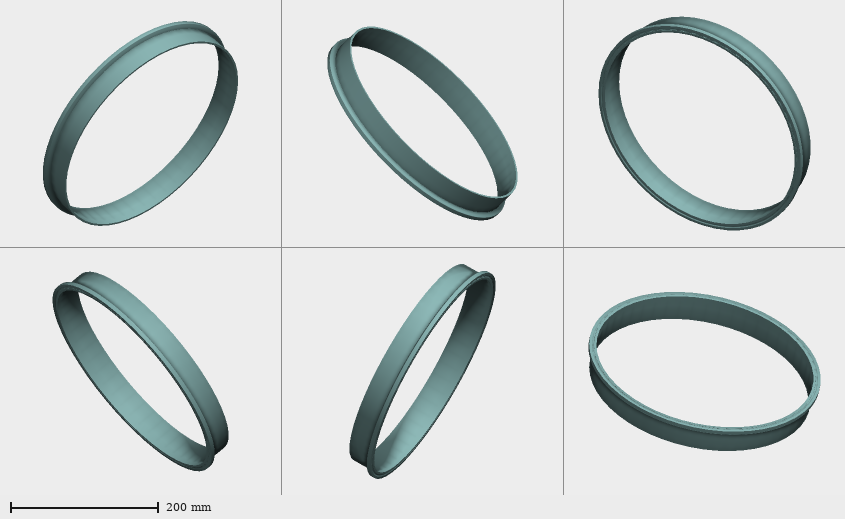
import cadquery as cq
import math

flange_radius = 319.3 / 2
tube_outer_radius = 305.0 / 2
bore_radius = 299.2 / 2
length = 38.0

rim_width = 5.7
cone_angle = math.radians(20)
cone_end = rim_width + (flange_radius - tube_outer_radius) * math.tan(cone_angle)
rim_round = 1.0
root_round = 0.5

groove_ring_radius = 154.2
groove_section_radius = 1.3
groove_lip_round = 0.5


def revolve_about_axis(section):
    """Turn a closed section, drawn as (x, radius), about the X axis."""
    return section.revolve(360, (0, 0, 0), (1, 0, 0))


def circles_at(x, inner_radius, outer_radius):
    """Selector for the circular edges at x with radii between the two limits."""
    def disc_box(radius):
        margin = 0.03
        low = (x - margin, -radius, -radius)
        high = (x + margin, radius, radius)
        return cq.selectors.BoxSelector(low, high, boundingbox=True)

    return disc_box(outer_radius) - disc_box(inner_radius)


def ferrule_body():
    """Flange and tube in one turned shape, with rounded rim and root edges."""
    section = (
        cq.Workplane("XY")
        .moveTo(0, bore_radius)
        .lineTo(0, flange_radius)
        .lineTo(rim_width, flange_radius)
        .lineTo(cone_end, tube_outer_radius)
        .lineTo(length, tube_outer_radius)
        .lineTo(length, bore_radius)
        .close()
    )
    body = revolve_about_axis(section)
    body = body.edges(circles_at(rim_width, tube_outer_radius, flange_radius + rim_round)).fillet(rim_round)
    return body.edges(circles_at(cone_end, bore_radius, flange_radius)).fillet(root_round)


def cut_gasket_groove(body):
    """Cut the half-round groove into the flange face and round both of its lips."""
    section = (
        cq.Workplane("XY")
        .moveTo(0, groove_ring_radius - groove_section_radius)
        .threePointArc(
            (groove_section_radius, groove_ring_radius),
            (0, groove_ring_radius + groove_section_radius),
        )
        .close()
    )
    grooved = body.cut(revolve_about_axis(section))
    lips = circles_at(0, bore_radius + groove_lip_round, flange_radius - groove_lip_round)
    return grooved.edges(lips).fillet(groove_lip_round)


result = cut_gasket_groove(ferrule_body())